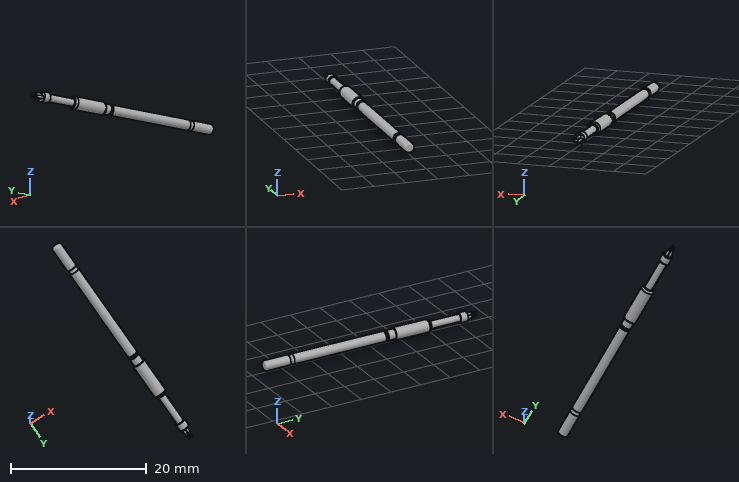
import cadquery as cq
import math

length = 36.0

body_diameter = 1.65
sleeve_diameter = 2.0
sleeve_nose_diameter = 1.65
rod_diameter = 1.22
collar_diameter = 1.62

sleeve_start = 22.0
sleeve_length = 6.0
sleeve_chamfer_length = 0.4
collar_length = 1.2
tip_length = 1.8

rear_fillet = 0.35

front_groove_place = 20.55
front_groove_width = 0.45
front_groove_depth = 0.07
rear_groove_place = 4.5
rear_groove_width = 0.65
rear_groove_depth = 0.1

pin_count = 3
pin_diameter = 0.5
pin_ring_radius = 0.3
pin_cone_length = 1.25
pin_point_diameter = 0.02

sleeve_end = sleeve_start + sleeve_length
collar_end = length - tip_length
collar_start = collar_end - collar_length
body_radius = body_diameter / 2


def cylinder(diameter, start, end):
    """A round bar on the Y axis between two places along it."""
    return cq.Workplane("XZ", origin=(0, start, 0)).circle(diameter / 2).extrude(start - end)


def body():
    """The main tube with its rounded rear end."""
    return cylinder(body_diameter, 0, sleeve_start).faces("<Y").edges().fillet(rear_fillet)


def sleeve():
    """The thicker stop sleeve, tapered at its front end."""
    nose_start = sleeve_end - sleeve_chamfer_length
    return (
        cq.Workplane("XY")
        .moveTo(0, sleeve_start)
        .lineTo(sleeve_diameter / 2, sleeve_start)
        .lineTo(sleeve_diameter / 2, nose_start)
        .lineTo(sleeve_nose_diameter / 2, sleeve_end)
        .lineTo(0, sleeve_end)
        .close()
        .revolve(360, (0, 0), (0, 1))
    )


def sharp_groove():
    """The V-shaped ring around the body behind the sleeve."""
    half_width = front_groove_width / 2
    return (
        cq.Workplane("XY")
        .moveTo(body_radius, front_groove_place - half_width)
        .lineTo(body_radius - front_groove_depth, front_groove_place)
        .lineTo(body_radius, front_groove_place + half_width)
        .close()
        .revolve(360, (0, 0), (0, 1))
    )


def round_groove():
    """The shallow round-bottomed ring around the body near its rear end."""
    half_width = rear_groove_width / 2
    return (
        cq.Workplane("XY")
        .moveTo(body_radius, rear_groove_place - half_width)
        .threePointArc(
            (body_radius - rear_groove_depth, rear_groove_place),
            (body_radius, rear_groove_place + half_width),
        )
        .close()
        .revolve(360, (0, 0), (0, 1))
    )


def pin(angle):
    """One cylindrical pin with a conical point, placed in the ring by its angle from +X."""
    cone_start = length - pin_cone_length
    pin_radius = pin_diameter / 2
    x = pin_ring_radius * math.cos(math.radians(angle))
    z = pin_ring_radius * math.sin(math.radians(angle))
    return (
        cq.Workplane("XY")
        .moveTo(0, collar_end)
        .lineTo(pin_radius, collar_end)
        .lineTo(pin_radius, cone_start)
        .lineTo(pin_point_diameter / 2, length)
        .lineTo(0, length)
        .close()
        .revolve(360, (0, 0), (0, 1))
        .translate((x, 0, z))
    )


result = body().union(sleeve())
result = result.union(cylinder(rod_diameter, sleeve_end, collar_start))
result = result.union(cylinder(collar_diameter, collar_start, collar_end))
result = result.cut(sharp_groove())
result = result.cut(round_groove())
for number in range(pin_count):
    result = result.union(pin(90 + number * 360 / pin_count))